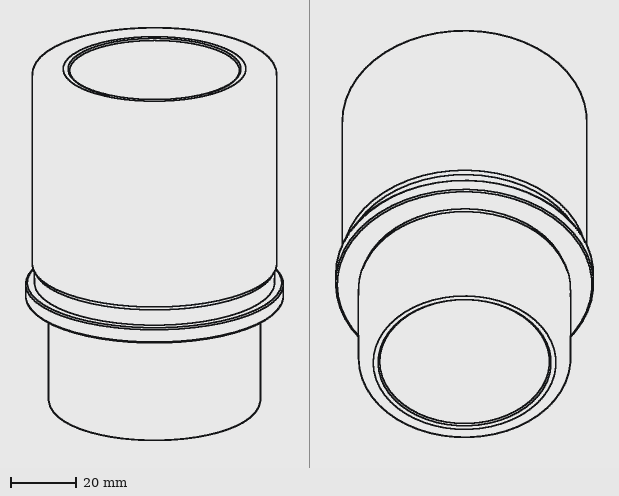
import cadquery as cq
import math

total_height = 110.0
collar_bottom = 35.0
collar_top = 40.0
barrel_bottom = 45.0

groove_depth = 0.7
collar_radius = 79.0 / 2
barrel_radius = 75.0 / 2
neck_radius = barrel_radius - groove_depth
spigot_radius = 65.0 / 2
liner_radius = 56.0 / 2
bore_radius = 52.0 / 2

end_fillet = 2.0
collar_chamfer = 0.5
barrel_taper = math.radians(30)
relief_width = 2.0
bore_chamfer = 0.5


def make_housing():
    """Stepped sleeve: lower spigot, collar, neck and upper barrel, bored for the liner."""
    chamfered_radius = collar_radius - collar_chamfer
    barrel_chamfer_height = (barrel_radius - neck_radius) / math.tan(barrel_taper)

    relief_bottom = collar_bottom - relief_width
    relief_radius = spigot_radius - groove_depth
    relief_arc_radius = (relief_width**2 + groove_depth**2) / (2 * groove_depth)

    profile = (
        cq.Workplane("XZ")
        .moveTo(liner_radius, 0)
        .lineTo(spigot_radius - end_fillet, 0)
        .radiusArc((spigot_radius, end_fillet), -end_fillet)
        .lineTo(spigot_radius, relief_bottom)
        .radiusArc((relief_radius, collar_bottom), relief_arc_radius)
        .lineTo(chamfered_radius, collar_bottom)
        .lineTo(collar_radius, collar_bottom + collar_chamfer)
        .lineTo(collar_radius, collar_top - collar_chamfer)
        .lineTo(chamfered_radius, collar_top)
        .lineTo(neck_radius, collar_top)
        .lineTo(neck_radius, barrel_bottom)
        .lineTo(barrel_radius, barrel_bottom + barrel_chamfer_height)
        .lineTo(barrel_radius, total_height - end_fillet)
        .radiusArc((barrel_radius - end_fillet, total_height), -end_fillet)
        .lineTo(liner_radius, total_height)
        .close()
    )
    return profile.revolve(360, (0, 0), (0, 1))


def make_liner():
    """Plain bearing tube filling the housing bore, chamfered inside at both ends."""
    mouth_radius = bore_radius + bore_chamfer
    profile = (
        cq.Workplane("XZ")
        .moveTo(mouth_radius, 0)
        .lineTo(liner_radius, 0)
        .lineTo(liner_radius, total_height)
        .lineTo(mouth_radius, total_height)
        .lineTo(bore_radius, total_height - bore_chamfer)
        .lineTo(bore_radius, bore_chamfer)
        .close()
    )
    return profile.revolve(360, (0, 0), (0, 1))


housing = make_housing()
liner = make_liner()

result = cq.Compound.makeCompound([housing.val(), liner.val()])